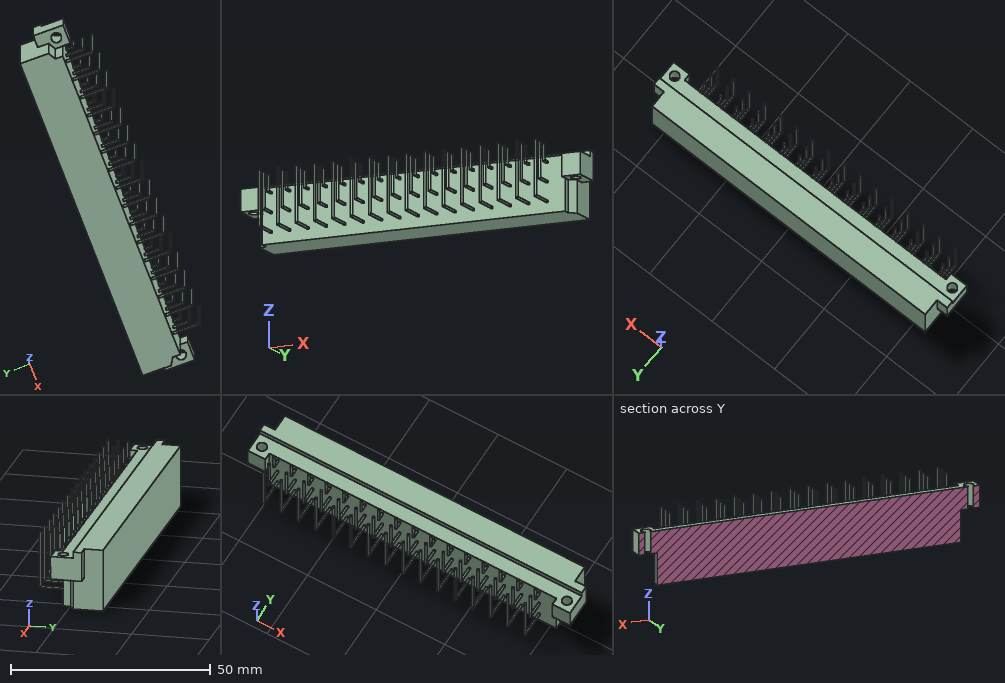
import cadquery as cq

overall_length = 93.95
body_length = 87.5
body_height = 16.1
body_depth = 10.8

ear_back_setback = 4.8
ear_front_setback = 12.8
ear_width = 5.15
ear_bottom = 8.55
hole_diameter = 2.55
hole_spacing = 88.9
hole_setback = 10.05

ledge_setback = 6.95
ledge_drop = 1.55

neck_length = overall_length - 2 * ear_width
slant_start = 7.7
slant_end = 8.8

pin_diameter = 0.6
pin_columns = 16
column_pitch = 5.08
column_shift = -1.27
pin_rows = 3
row_depth_pitch = 2.54
row_height_pitch = 5.08
overall_depth = 18.02
overall_height = 17.55
lowest_pin_height = 3.05
pin_embed = 1.0


def make_body():
    """Long housing block with the narrowed front, extruded from the bottom."""
    half_body = body_length / 2
    half_neck = neck_length / 2
    return (
        cq.Workplane("XY")
        .moveTo(-half_body, 0)
        .lineTo(half_body, 0)
        .lineTo(half_body, -slant_start)
        .lineTo(half_neck, -slant_end)
        .lineTo(half_neck, -body_depth)
        .lineTo(-half_neck, -body_depth)
        .lineTo(-half_neck, -slant_end)
        .lineTo(-half_body, -slant_start)
        .close()
        .extrude(body_height)
    )


def make_ear(side):
    """Mounting ear with side -1 for the -X end and +1 for the +X end."""
    center_x = side * (overall_length - ear_width) / 2
    center_y = -(ear_back_setback + ear_front_setback) / 2
    ear_depth = ear_front_setback - ear_back_setback
    return (
        cq.Workplane("XY", origin=(center_x, center_y, ear_bottom))
        .rect(ear_width, ear_depth)
        .extrude(body_height - ear_bottom)
    )


def cut_ledge(housing):
    """Lower the top face in front of the ledge line."""
    ledge_depth = ear_front_setback - ledge_setback
    ledge = cq.Workplane("XY").box(
        overall_length, ledge_depth, ledge_drop, centered=(True, False, False)
    )
    return housing.cut(ledge.translate((0, -ear_front_setback, body_height - ledge_drop)))


def cut_mounting_holes(housing):
    """Vertical through holes, one in each ear."""
    holes = (
        cq.Workplane("XY")
        .pushPoints([(-hole_spacing / 2, -hole_setback), (hole_spacing / 2, -hole_setback)])
        .circle(hole_diameter / 2)
        .extrude(body_height)
    )
    return housing.cut(holes)


def make_pin(row):
    """Round pin leaving the front face and bending up; row 0 is the lowest and longest."""
    start_y = pin_embed - body_depth
    bend_y = pin_diameter / 2 - overall_depth + row * row_depth_pitch
    pin_height = lowest_pin_height + row * row_height_pitch
    path = (
        cq.Workplane("YZ")
        .moveTo(start_y, pin_height)
        .lineTo(bend_y, pin_height)
        .lineTo(bend_y, overall_height)
    )
    return (
        cq.Workplane("XZ", origin=(0, start_y, pin_height))
        .circle(pin_diameter / 2)
        .sweep(path, transition="right")
    )


def add_pins(housing):
    """Join every pin of every row to the housing."""
    first_x = column_shift - (pin_columns - 1) * column_pitch / 2
    pins = []
    for row in range(pin_rows):
        pin = make_pin(row).val()
        for column in range(pin_columns):
            pins.append(pin.translate(cq.Vector(first_x + column * column_pitch, 0, 0)))
    return cq.Workplane(housing.val().fuse(*pins))


housing = make_body().union(make_ear(-1)).union(make_ear(1))
housing = cut_ledge(housing)
housing = cut_mounting_holes(housing)
result = add_pins(housing)